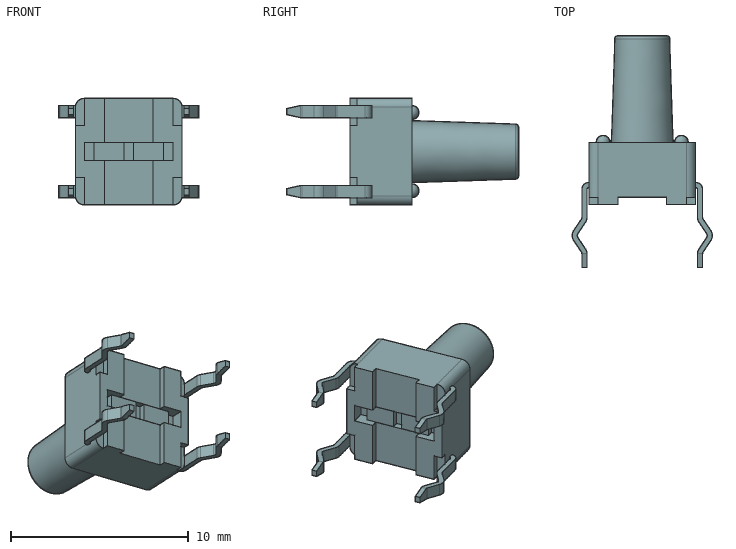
import cadquery as cq
import math

HOUSING_WIDTH = 6.0
HOUSING_DEPTH = 3.5
CORNER_RADIUS = 0.5

BASE_STEP = 0.4
CHANNEL_WIDTH = 2.72
CORNER_POCKET_HEIGHT = 1.54
SLOT_LENGTH = 5.0
SLOT_HEIGHT = 1.0
SLOT_FLOOR_Y = 0.8
SLOT_BLOCK_FACE_Y = 0.42
SLOT_BLOCK_START = 0.26
SLOT_BLOCK_END = 1.94

DOME_RADIUS = 0.39
DOME_OFFSET = 2.2

LEAD_THICKNESS = 0.3
LEAD_WIDTH = 0.7
LEAD_PITCH = 4.5
LEAD_TIP_WIDTH = 0.35
LEAD_EXIT_Y = 1.1
LEAD_EMBED = 0.2
LEG_X = 3.25
TIP_Y = -3.55
APEX_X = 3.795
APEX_Y = -1.745
KINK_ANGLE = math.radians(33.7)

SHOULDER_RADIUS = 0.25
KINK_RADIUS = 0.3
APEX_RADIUS = 0.35

BUTTON_LENGTH = 6.0
BUTTON_BASE_RADIUS = 1.75
BUTTON_TIP_RADIUS = 1.55
BUTTON_TIP_FILLET = 0.2

HALF_WIDTH = HOUSING_WIDTH / 2

KINK_CENTER_X = LEG_X + KINK_RADIUS
APEX_CENTER_X = APEX_X - APEX_RADIUS
CENTER_GAP_X = KINK_CENTER_X - APEX_CENTER_X
RADIUS_SUM = KINK_RADIUS + APEX_RADIUS
KINK_HALF_LENGTH = (RADIUS_SUM - CENTER_GAP_X * math.cos(KINK_ANGLE)) / math.sin(KINK_ANGLE)
KINK_TOP_Y = APEX_Y + KINK_HALF_LENGTH
KINK_BOTTOM_Y = APEX_Y - KINK_HALF_LENGTH


def box_between(x_range, y_range, z_range):
    """Box that spans the given (low, high) range along each axis."""
    spans = [high - low for low, high in (x_range, y_range, z_range)]
    corner = (x_range[0], y_range[0], z_range[0])
    return cq.Workplane("XY").box(*spans, centered=False).translate(corner)


def make_block():
    """Housing block with its four long edges rounded."""
    block = box_between((-HALF_WIDTH, HALF_WIDTH), (0, HOUSING_DEPTH), (-HALF_WIDTH, HALF_WIDTH))
    return block.edges("|Y").fillet(CORNER_RADIUS)


def make_corner_pockets():
    """Shallow step at each corner of the base."""
    pocket = box_between(
        (HALF_WIDTH - CORNER_RADIUS, HALF_WIDTH),
        (0, BASE_STEP),
        (HALF_WIDTH - CORNER_POCKET_HEIGHT, HALF_WIDTH),
    )
    pockets = pocket.union(pocket.mirror("YZ"))
    return pockets.union(pockets.mirror("XY"))


def make_channel():
    """Channel that crosses the whole base along Z."""
    half = CHANNEL_WIDTH / 2
    return box_between((-half, half), (0, BASE_STEP), (-HALF_WIDTH, HALF_WIDTH))


def make_slot():
    """Slot along X in the base, with two blocks left standing on its floor."""
    half_length = SLOT_LENGTH / 2
    z_range = (-SLOT_HEIGHT / 2, SLOT_HEIGHT / 2)
    slot = box_between((-half_length, half_length), (0, SLOT_FLOOR_Y), z_range)
    block = box_between((SLOT_BLOCK_START, SLOT_BLOCK_END), (SLOT_BLOCK_FACE_Y, SLOT_FLOOR_Y), z_range)
    return slot.cut(block).cut(block.mirror("YZ"))


def make_domes():
    """Balls centred on the button face, so that half of each stands out as a rivet head."""
    dome = cq.Workplane("XY").sphere(DOME_RADIUS)
    offsets = (-DOME_OFFSET, DOME_OFFSET)
    return [dome.translate((x, HOUSING_DEPTH, z)) for x in offsets for z in offsets]


def make_lead_strip():
    """Bent strip of the +X lead, centred on Z = 0."""
    kink_dx = KINK_RADIUS * (1 - math.cos(KINK_ANGLE))
    kink_dy = KINK_RADIUS * math.sin(KINK_ANGLE)
    apex_arc_x = APEX_CENTER_X + APEX_RADIUS * math.cos(KINK_ANGLE)
    apex_arc_dy = APEX_RADIUS * math.sin(KINK_ANGLE)
    center_line = (
        cq.Workplane("XY")
        .moveTo(HALF_WIDTH - LEAD_EMBED, LEAD_EXIT_Y)
        .lineTo(LEG_X - SHOULDER_RADIUS, LEAD_EXIT_Y)
        .tangentArcPoint((LEG_X, LEAD_EXIT_Y - SHOULDER_RADIUS), relative=False)
        .lineTo(LEG_X, KINK_TOP_Y)
        .tangentArcPoint((LEG_X + kink_dx, KINK_TOP_Y - kink_dy), relative=False)
        .lineTo(apex_arc_x, APEX_Y + apex_arc_dy)
        .threePointArc((APEX_X, APEX_Y), (apex_arc_x, APEX_Y - apex_arc_dy))
        .lineTo(LEG_X + kink_dx, KINK_BOTTOM_Y + kink_dy)
        .tangentArcPoint((LEG_X, KINK_BOTTOM_Y), relative=False)
        .lineTo(LEG_X, TIP_Y)
    )
    section = cq.Workplane("YZ", origin=(HALF_WIDTH - LEAD_EMBED, LEAD_EXIT_Y, 0))
    return section.rect(LEAD_THICKNESS, LEAD_WIDTH).sweep(center_line)


def make_lead_outline():
    """Prism with the lead's width seen along X: full width, then tapered from the kink to the tip."""
    half_width = LEAD_WIDTH / 2
    half_tip = LEAD_TIP_WIDTH / 2
    top_y = LEAD_EXIT_Y + LEAD_THICKNESS
    return (
        cq.Workplane("YZ")
        .polyline([
            (top_y, half_width),
            (KINK_BOTTOM_Y, half_width),
            (TIP_Y, half_tip),
            (TIP_Y, -half_tip),
            (KINK_BOTTOM_Y, -half_width),
            (top_y, -half_width),
        ])
        .close()
        .extrude(APEX_X + LEAD_THICKNESS)
    )


def make_leads():
    """Four leads as separate pieces, two on each side of the housing."""
    lead = make_lead_strip().intersect(make_lead_outline())
    leads = []
    for z in (-LEAD_PITCH / 2, LEAD_PITCH / 2):
        placed_lead = lead.translate((0, 0, z))
        leads.append(placed_lead)
        leads.append(placed_lead.mirror("YZ"))
    return leads


def make_housing():
    """Housing with its domes and moulded-in leads as one solid."""
    housing = make_block().cut(make_corner_pockets()).cut(make_channel()).cut(make_slot())
    for part in make_domes() + make_leads():
        housing = housing.union(part)
    return housing


def make_button():
    """Tapered round button that stands on the housing, its tip edge rounded."""
    button = cq.Solid.makeCone(
        BUTTON_BASE_RADIUS,
        BUTTON_TIP_RADIUS,
        BUTTON_LENGTH,
        pnt=cq.Vector(0, HOUSING_DEPTH, 0),
        dir=cq.Vector(0, 1, 0),
    )
    return cq.Workplane(button).faces(">Y").edges().fillet(BUTTON_TIP_FILLET)


housing = make_housing()
button = make_button()

result = cq.Compound.makeCompound([housing.val(), button.val()])